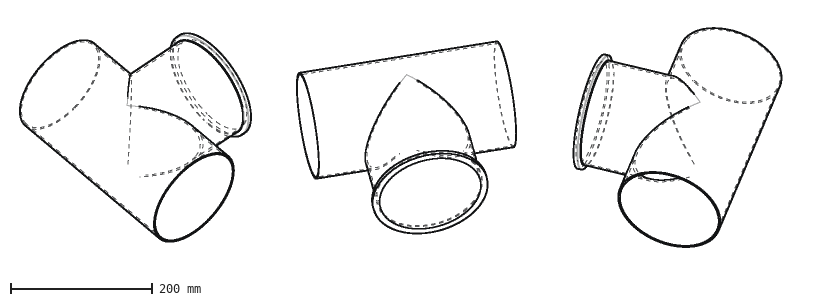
import cadquery as cq
import math

run_length = 285.8
tube_diameter = 152.3
bore_diameter = 147.0
branch_reach = 161.7

flange_diameter = 167.0
rim_thickness = 5.7
taper_angle = 20.0
corner_radius = 1.1

tube_radius = tube_diameter / 2
flange_radius = flange_diameter / 2
taper_depth = (flange_radius - tube_radius) * math.tan(math.radians(taper_angle))


def run_cylinder(diameter):
    """Full-length cylinder along X, centred on the origin."""
    return cq.Workplane("YZ").circle(diameter / 2).extrude(run_length / 2, both=True)


def branch_bore():
    """Bore along +Y from the main axis through the branch end."""
    return cq.Workplane("XZ").circle(bore_diameter / 2).extrude(-branch_reach)


def flanged_branch():
    """Solid branch along +Y, ending in a flange with a tapered back face."""
    rim_back = branch_reach - rim_thickness
    taper_end = rim_back - taper_depth
    blank = (
        cq.Workplane("XY")
        .polyline([
            (0, 0),
            (tube_radius, 0),
            (tube_radius, taper_end),
            (flange_radius, rim_back),
            (flange_radius, branch_reach),
            (0, branch_reach),
        ])
        .close()
        .revolve(360, (0, 0, 0), (0, 1, 0))
    )
    return blank.faces("%CONE").edges("%CIRCLE").fillet(corner_radius)


outside = run_cylinder(tube_diameter).union(flanged_branch())
result = outside.cut(run_cylinder(bore_diameter)).cut(branch_bore())